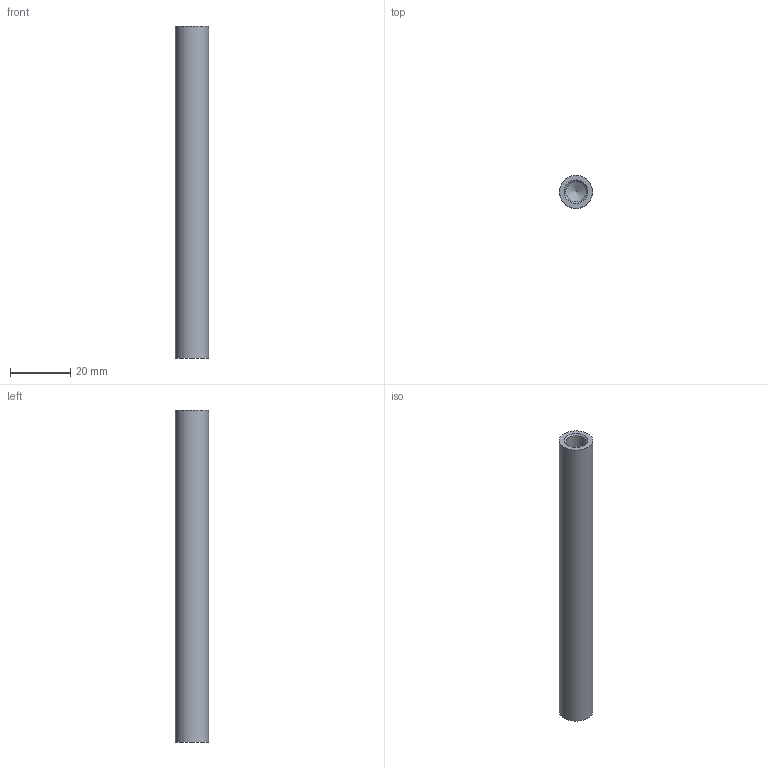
import cadquery as cq
import math

ROD_DIAMETER = 11.0
ROD_LENGTH = 110.0
BORE_DIAMETER = 6.8
BORE_DEPTH = 25.0
DRILL_POINT_ANGLE = 118.0
MOUTH_DIAMETER = 7.8


def blind_bore():
    """Drilled hole from the top face: chamfered mouth, straight bore, conical tip."""
    bore_radius = BORE_DIAMETER / 2
    mouth_radius = MOUTH_DIAMETER / 2
    chamfer_depth = mouth_radius - bore_radius
    tip_depth = bore_radius / math.tan(math.radians(DRILL_POINT_ANGLE / 2))
    bore_bottom = ROD_LENGTH - BORE_DEPTH
    profile = (
        cq.Workplane("XZ")
        .moveTo(0, ROD_LENGTH)
        .lineTo(mouth_radius, ROD_LENGTH)
        .lineTo(bore_radius, ROD_LENGTH - chamfer_depth)
        .lineTo(bore_radius, bore_bottom)
        .lineTo(0, bore_bottom - tip_depth)
        .close()
    )
    return profile.revolve(360, (0, 0, 0), (0, 1, 0))


rod = cq.Workplane("XY").circle(ROD_DIAMETER / 2).extrude(ROD_LENGTH)
result = rod.cut(blind_bore())